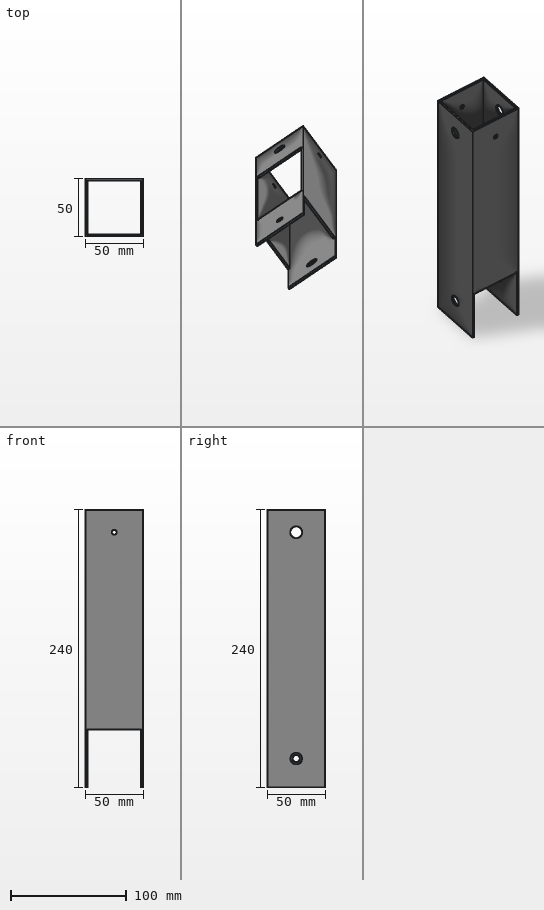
import cadquery as cq

length = 240.0
width = 50.0
wall = 2.0
bore = width - 2 * wall

fork_height = 50.0

window_bottom = 65.0
window_height = 120.0

top_hole_z = length - 19.5
bottom_hole_z = 25.0
small_hole_diameter = 4.0
large_hole_diameter = 10.0
fork_hole_diameter = 6.0
far_fork_hole_diameter = 10.0


def box_from(bottom, size_x, size_y, height):
    """Box centred on the Z axis, rising from the given height."""
    return cq.Workplane("XY").workplane(offset=bottom).rect(size_x, size_y).extrude(height)


def hole_along_x(diameter, z, start, reach):
    """Cylinder along +X from the given X position."""
    return cq.Workplane("YZ", origin=(start, 0, z)).circle(diameter / 2).extrude(reach)


def hole_along_y(diameter, z):
    """Cylinder along Y through both the front and back walls."""
    return cq.Workplane("XZ", origin=(0, 0, z)).circle(diameter / 2).extrude(width, both=True)


tube = box_from(0, width, width, length).cut(box_from(0, bore, bore, length))

fork_gap = box_from(0, bore, width, fork_height)
window = box_from(window_bottom, width / 2, bore, window_height).translate((-width / 2, 0, 0))

result = (
    tube.cut(fork_gap)
    .cut(window)
    .cut(hole_along_y(small_hole_diameter, top_hole_z))
    .cut(hole_along_x(large_hole_diameter, top_hole_z, -width, 2 * width))
    .cut(hole_along_x(fork_hole_diameter, bottom_hole_z, -width, width))
    .cut(hole_along_x(far_fork_hole_diameter, bottom_hole_z, 0, width))
)